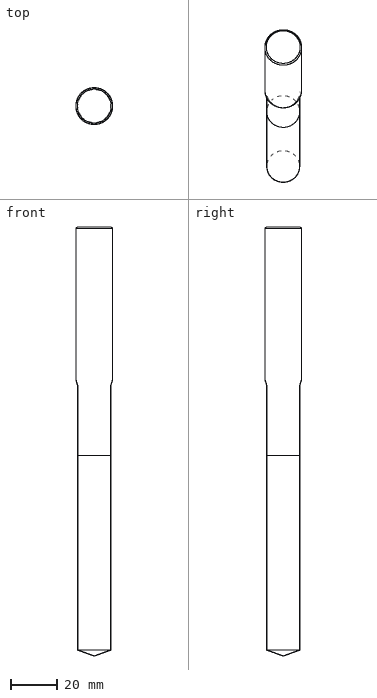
import cadquery as cq
import math

total_length = 185.0
shank_diameter = 16.0
drill_diameter = 14.2
shank_radius = shank_diameter / 2
drill_radius = drill_diameter / 2

cutting_length = 86.5
neck_top = 116.4
shank_bottom = 119.1

end_chamfer = 0.65
point_angle = 140.0
point_height = drill_radius / math.tan(math.radians(point_angle / 2))


def revolve_about_z(outline):
    """Turn a closed (radius, height) outline into a round solid."""
    return cq.Workplane("XZ").polyline(outline).close().revolve(360, (0, 0, 0), (0, 1, 0))


def make_shank():
    """Chamfered shank that tapers down to the neck."""
    return revolve_about_z([
        (0, cutting_length),
        (drill_radius, cutting_length),
        (drill_radius, neck_top),
        (shank_radius, shank_bottom),
        (shank_radius, total_length - end_chamfer),
        (shank_radius - end_chamfer, total_length),
        (0, total_length),
    ])


def make_cutting_body():
    """Plain cylinder with a conical point, butted against the neck."""
    return revolve_about_z([
        (0, 0),
        (drill_radius, point_height),
        (drill_radius, cutting_length),
        (0, cutting_length),
    ])


shank = make_shank()
cutting_body = make_cutting_body()

result = cq.Compound.makeCompound([shank.val(), cutting_body.val()])